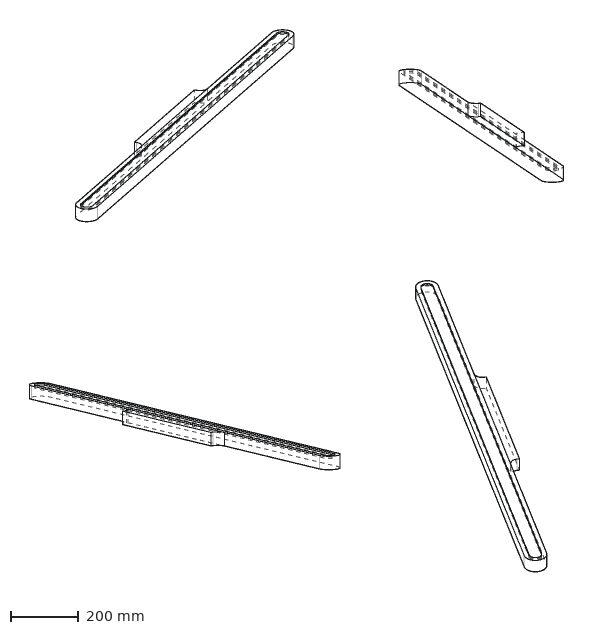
import cadquery as cq

BAR_LENGTH = 1505.0
BAR_WIDTH = 68.0
HEIGHT = 40.0

RIM_WIDTH = 15.0
STRIP_DROP = 5.0
STRIP_THICKNESS = 5.0
STRIP_LENGTH = BAR_LENGTH - 2 * RIM_WIDTH
STRIP_WIDTH = BAR_WIDTH - 2 * RIM_WIDTH
STRIP_BOTTOM = HEIGHT - STRIP_DROP - STRIP_THICKNESS

BLOCK_DEPTH = 32.0
BLOCK_FACE_LENGTH = 441.0
COVE_RADIUS = 24.0

ALONG_Y = 90


def round_ended_prism(length, width, bottom, top):
    """Prism along Y with semicircular ends, between two heights."""
    return (
        cq.Workplane("XY")
        .workplane(offset=bottom)
        .slot2D(length, width, ALONG_Y)
        .extrude(top - bottom)
    )


def make_bar():
    """Round-ended bar with a recess for the strip in its top."""
    body = round_ended_prism(BAR_LENGTH, BAR_WIDTH, 0, HEIGHT)
    recess = round_ended_prism(STRIP_LENGTH, STRIP_WIDTH, STRIP_BOTTOM, HEIGHT)
    return body.cut(recess)


def make_strip():
    """Thin round-ended strip lying on the floor of the recess."""
    return round_ended_prism(STRIP_LENGTH, STRIP_WIDTH, STRIP_BOTTOM, STRIP_BOTTOM + STRIP_THICKNESS)


def make_block():
    """Block that widens toward the bar through a concave cove at each end."""
    joint_x = -BAR_WIDTH / 2
    face_x = joint_x - BLOCK_DEPTH
    cove_x = joint_x - COVE_RADIUS
    face_y = BLOCK_FACE_LENGTH / 2
    root_y = face_y + COVE_RADIUS
    return (
        cq.Workplane("XY")
        .moveTo(face_x, -face_y)
        .lineTo(cove_x, -face_y)
        .radiusArc((joint_x, -root_y), COVE_RADIUS)
        .lineTo(joint_x, root_y)
        .radiusArc((cove_x, face_y), COVE_RADIUS)
        .lineTo(face_x, face_y)
        .close()
        .extrude(HEIGHT)
    )


bar = make_bar()
strip = make_strip()
block = make_block()

result = cq.Compound.makeCompound([bar.val(), strip.val(), block.val()])